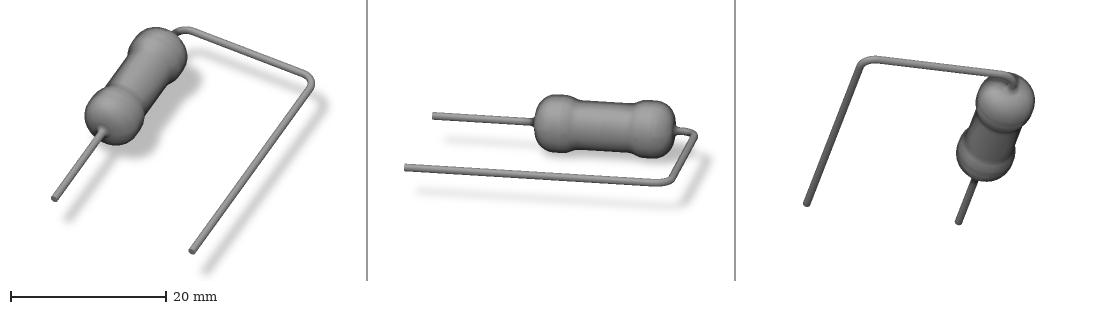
import cadquery as cq
import math

body_length = 18.08
cap_radius = 7.5 / 2
waist_radius = 6.4 / 2
cap_band_width = 1.2
shoulder_length = 2.2

wire_radius = 1.0 / 2
neck_fillet = 0.75
lead_spacing = 20.0
bend_radius = 2.0
overall_length = 35.1
wire_top_gap = 3.47

body_end = body_length / 2
neck_radius = wire_radius + neck_fillet
neck_end = body_end + neck_fillet
dome_radius = cap_radius - neck_radius
band_outer = body_end - dome_radius
band_inner = band_outer - cap_band_width
waist_end = band_inner - shoulder_length
wire_top = body_end + wire_top_gap
cross_wire_y = wire_top - wire_radius
lead_tip_y = wire_top - overall_length
bend_start_y = cross_wire_y - bend_radius

DIAGONAL = math.sqrt(0.5)


def make_half_body():
    """Half of the body from its middle plane to the +Y neck."""
    step = cap_radius - waist_radius
    shoulder_middle = ((cap_radius + waist_radius) / 2, (band_inner + waist_end) / 2)
    dome_middle = (neck_radius + dome_radius * DIAGONAL, band_outer + dome_radius * DIAGONAL)
    neck_middle = (neck_radius - neck_fillet * DIAGONAL, neck_end - neck_fillet * DIAGONAL)
    shoulder_radius = (shoulder_length**2 + step**2) / (4 * step)
    half_angle = math.asin(shoulder_length / 2 / shoulder_radius) / 2
    arc_drop = shoulder_radius * (1 - math.cos(half_angle))
    arc_run = shoulder_radius * math.sin(half_angle)
    concave_middle = (waist_radius + arc_drop, waist_end + arc_run)
    convex_middle = (cap_radius - arc_drop, band_inner - arc_run)
    return (
        cq.Workplane("XY")
        .lineTo(waist_radius, 0)
        .lineTo(waist_radius, waist_end)
        .threePointArc(concave_middle, shoulder_middle)
        .threePointArc(convex_middle, (cap_radius, band_inner))
        .lineTo(cap_radius, band_outer)
        .threePointArc(dome_middle, (neck_radius, body_end))
        .threePointArc(neck_middle, (wire_radius, neck_end))
        .lineTo(0, neck_end)
        .close()
        .revolve(360, (0, 0, 0), (0, 1, 0))
    )


def make_body():
    half = make_half_body()
    return half.union(half.mirror("XZ"))


def make_straight_lead():
    """Lead running out of the -Y end of the body."""
    return (
        cq.Workplane("XZ", origin=(0, lead_tip_y, 0))
        .circle(wire_radius)
        .extrude(lead_tip_y + neck_end)
    )


def make_bent_lead():
    """Lead leaving the +Y end, crossing over and returning parallel to the body."""
    bend_inset = bend_radius * (1 - DIAGONAL)
    path = (
        cq.Workplane("XY")
        .moveTo(0, neck_end)
        .lineTo(0, bend_start_y)
        .threePointArc((bend_inset, cross_wire_y - bend_inset), (bend_radius, cross_wire_y))
        .lineTo(lead_spacing - bend_radius, cross_wire_y)
        .threePointArc(
            (lead_spacing - bend_inset, cross_wire_y - bend_inset),
            (lead_spacing, bend_start_y),
        )
        .lineTo(lead_spacing, lead_tip_y)
    )
    return cq.Workplane("XZ", origin=(0, neck_end, 0)).circle(wire_radius).sweep(path)


result = make_body().union(make_straight_lead()).union(make_bent_lead())